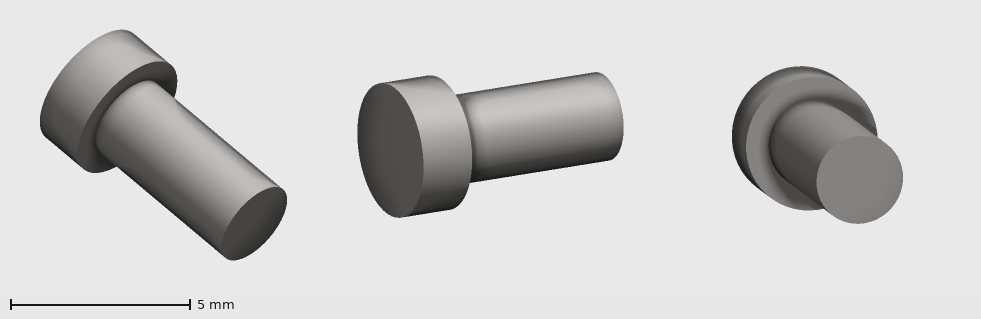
import cadquery as cq

head_diameter = 3.8
head_length = 1.55
shank_diameter = 2.5
shank_length = 5.2


def cylinder_along_x(start_x, diameter, length):
    """Solid cylinder centred on the X axis, running from start_x toward +X."""
    section = cq.Workplane("YZ", origin=(start_x, 0, 0)).circle(diameter / 2)
    return section.extrude(length)


head = cylinder_along_x(0, head_diameter, head_length)
shank = cylinder_along_x(head_length, shank_diameter, shank_length)

result = head.union(shank)